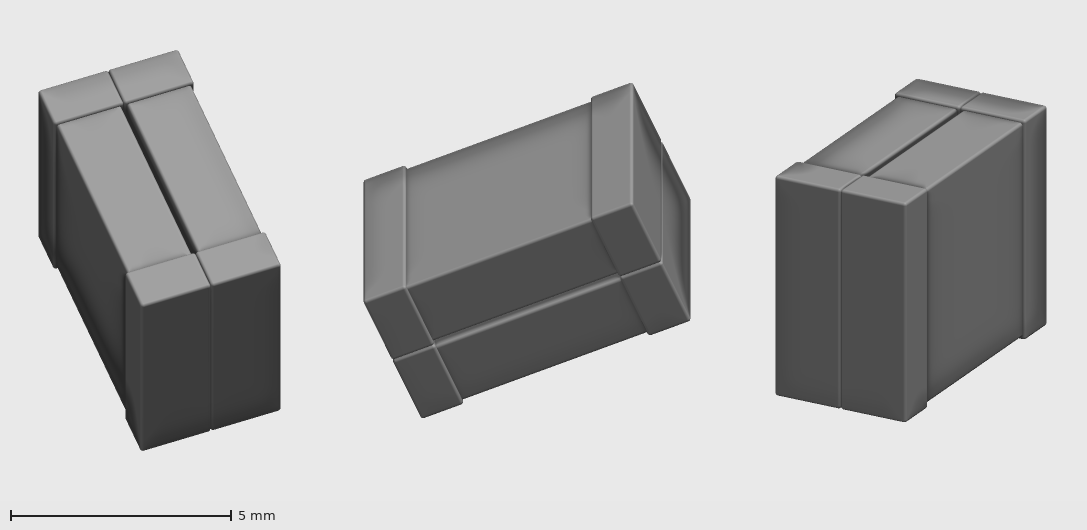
import cadquery as cq


stack_length = 6.65
stack_width = 3.4
stack_height = 5.4
chip_count = 2
terminal_length = 1.05
terminal_wall = 0.07
edge_radius = 0.07

chip_pitch = stack_width / chip_count
chip_length = stack_length - 2 * terminal_length
chip_width = chip_pitch - 2 * terminal_wall
chip_height = stack_height - 2 * terminal_wall
terminal_x = (stack_length - terminal_length) / 2
chip_centres_y = [(i - (chip_count - 1) / 2) * chip_pitch for i in range(chip_count)]


def make_chip(centre_y):
    """Ceramic block between the terminals, rounded along its four long edges."""
    block = cq.Workplane("XY").box(chip_length, chip_width, chip_height)
    return block.edges("|X").fillet(edge_radius).translate((0, centre_y, 0))


def make_terminal(centre_x):
    """Metal end block: one fully rounded cap per chip, joined where their sides meet."""
    cap = cq.Workplane("XY").box(terminal_length, chip_pitch, stack_height)
    cap = cap.edges().fillet(edge_radius)
    terminal = cq.Workplane("XY")
    for centre_y in chip_centres_y:
        terminal = terminal.union(cap.translate((centre_x, centre_y, 0)))
    return terminal


chips = [make_chip(y).val() for y in chip_centres_y]
terminals = [make_terminal(x).solids().val() for x in (-terminal_x, terminal_x)]

result = cq.Compound.makeCompound([*chips, *terminals])